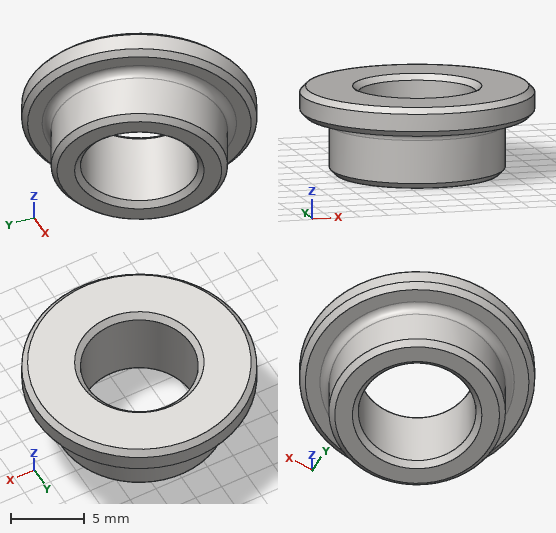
import cadquery as cq

flange_diameter = 16
barrel_diameter = 12
bore_diameter = 8
total_height = 6.0
flange_thickness = 2.0
edge_chamfer = 0.4
neck_fillet = 0.6

barrel_height = total_height - flange_thickness
smallest_circle = cq.selectors.RadiusNthSelector(0)


def chamfered_disc(diameter, height, base_z, chamfered_faces):
    """Disc standing on base_z, with the outer edges of the chosen faces chamfered."""
    disc = cq.Workplane("XY").workplane(offset=base_z).circle(diameter / 2).extrude(height)
    return disc.faces(chamfered_faces).chamfer(edge_chamfer)


barrel = chamfered_disc(barrel_diameter, barrel_height, 0, "<Z")
flange = chamfered_disc(flange_diameter, flange_thickness, barrel_height, "<Z or >Z")
body = barrel.union(flange)

flange_underside = body.faces("|Z").faces(cq.selectors.CenterNthSelector(cq.Vector(0, 0, 1), 1))
body = flange_underside.edges(smallest_circle).fillet(neck_fillet)

bore = cq.Workplane("XY").circle(bore_diameter / 2).extrude(total_height)
bored_body = body.cut(bore)
result = bored_body.faces("<Z or >Z").edges(smallest_circle).chamfer(edge_chamfer)